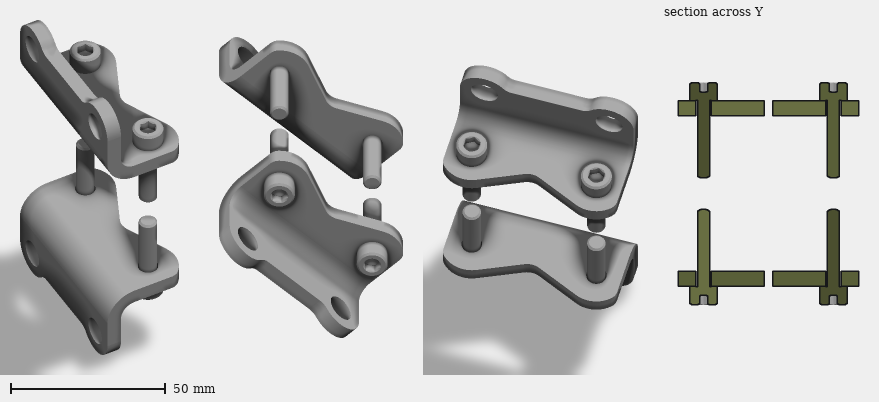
import cadquery as cq
import math

total_height = 106.5
width = 58.5
half_width = width / 2
thickness = 5.0
leg_height = 28.2
flange_depth = 29.5
bend_outer_radius = 10.0
bend_inner_radius = bend_outer_radius - thickness
hole_spacing = 42.0
hole_x = hole_spacing / 2
hole_sides = (-1, 1)

mounting_hole_diameter = 9.0
ear_radius = half_width - hole_x
ear_drop = 4.3
ear_root_radius = 4.0

lobe_radius = 10.0
lobe_corner_radius = 4.0
flank_angle = math.radians(24.5)
valley_radius = 6.0
clearance_diameter = 6.6

shank_diameter = 6.0
shank_length = 25.0
tip_chamfer = 0.6
head_diameter = 10.0
head_height = 6.0
head_chamfer = 0.6
socket_across_flats = 5.0
socket_depth = 3.0
socket_mouth_diameter = 5.9
drill_point_angle = math.radians(120)

top_z = total_height / 2
flange_bottom_z = top_z - leg_height
flange_top_z = flange_bottom_z + thickness
bend_center_z = flange_bottom_z + bend_outer_radius
ear_z = top_z - ear_radius
screw_y = flange_depth - lobe_radius


def fillet_nearest_edge(body, radius, point):
    """Round the edge whose middle is nearest to the point."""
    return body.edges(cq.selectors.NearestToPointSelector(point)).fillet(radius)


def make_leg():
    """Upright plate above the bend, with two pierced ears standing above its top edge."""
    web_z = top_z - ear_drop
    root_x = hole_x - math.sqrt(ear_radius**2 - (web_z - ear_z) ** 2)
    leg = (
        cq.Workplane("XZ")
        .moveTo(-half_width, bend_center_z)
        .lineTo(-half_width, ear_z)
        .threePointArc((-hole_x, top_z), (-root_x, web_z))
        .lineTo(root_x, web_z)
        .threePointArc((hole_x, top_z), (half_width, ear_z))
        .lineTo(half_width, bend_center_z)
        .close()
        .extrude(-thickness)
    )
    for side in hole_sides:
        leg = fillet_nearest_edge(leg, ear_root_radius, (side * root_x, thickness / 2, web_z))
    holes = (
        cq.Workplane("XZ")
        .pushPoints([(side * hole_x, ear_z) for side in hole_sides])
        .circle(mounting_hole_diameter / 2)
        .extrude(-thickness)
    )
    return leg.cut(holes)


def make_bend():
    """Quarter ring that joins the leg to the flange."""
    diagonal = math.sqrt(0.5)
    outer_mid = bend_outer_radius * diagonal
    inner_mid = bend_inner_radius * diagonal
    return (
        cq.Workplane("YZ", origin=(-half_width, bend_outer_radius, bend_center_z))
        .moveTo(-bend_outer_radius, 0)
        .threePointArc((-outer_mid, -outer_mid), (0, -bend_outer_radius))
        .lineTo(0, -bend_inner_radius)
        .threePointArc((-inner_mid, -inner_mid), (-bend_inner_radius, 0))
        .close()
        .extrude(width)
    )


def make_flange():
    """Level plate behind the bend, with two rounded lobes and screw clearance holes."""
    corner_y = screw_y + math.sqrt(lobe_radius**2 - ear_radius**2)
    flank_x = hole_x - lobe_radius * math.sin(flank_angle)
    flank_y = screw_y + lobe_radius * math.cos(flank_angle)
    valley_y = flank_y - flank_x * math.tan(flank_angle)
    flange = (
        cq.Workplane("XY", origin=(0, 0, flange_bottom_z))
        .moveTo(-half_width, bend_outer_radius)
        .lineTo(-half_width, corner_y)
        .threePointArc((-hole_x, flange_depth), (-flank_x, flank_y))
        .lineTo(0, valley_y)
        .lineTo(flank_x, flank_y)
        .threePointArc((hole_x, flange_depth), (half_width, corner_y))
        .lineTo(half_width, bend_outer_radius)
        .close()
        .extrude(thickness)
    )
    middle_z = flange_bottom_z + thickness / 2
    flange = fillet_nearest_edge(flange, valley_radius, (0, valley_y, middle_z))
    for side in hole_sides:
        flange = fillet_nearest_edge(flange, lobe_corner_radius, (side * half_width, corner_y, middle_z))
    holes = (
        cq.Workplane("XY", origin=(0, 0, flange_bottom_z))
        .pushPoints([(side * hole_x, screw_y) for side in hole_sides])
        .circle(clearance_diameter / 2)
        .extrude(thickness)
    )
    return flange.cut(holes)


def make_bracket():
    """Upper angle bracket."""
    return make_leg().union(make_bend()).union(make_flange())


def make_socket():
    """Hexagon recess below z = head_height, with a flared mouth and a drilled conical floor."""
    floor_z = head_height - socket_depth
    floor_radius = socket_across_flats / 2
    mouth_radius = socket_mouth_diameter / 2
    cone_depth = floor_radius / math.tan(drill_point_angle / 2)
    flare_depth = mouth_radius - floor_radius
    hexagon = (
        cq.Workplane("XY", origin=(0, 0, floor_z))
        .polygon(6, socket_across_flats, circumscribed=True)
        .extrude(socket_depth)
    )
    drill_and_flare = (
        cq.Workplane("XZ")
        .moveTo(0, floor_z - cone_depth)
        .lineTo(floor_radius, floor_z)
        .lineTo(floor_radius, head_height - flare_depth)
        .lineTo(mouth_radius, head_height)
        .lineTo(0, head_height)
        .close()
        .revolve(360, (0, 0), (0, 1))
    )
    return hexagon.union(drill_and_flare)


def make_screw():
    """Cap screw pointing down, with the underside of its head at z = 0."""
    shank = (
        cq.Workplane("XY")
        .circle(shank_diameter / 2)
        .extrude(-shank_length)
        .faces("<Z")
        .chamfer(tip_chamfer)
    )
    head = (
        cq.Workplane("XY")
        .circle(head_diameter / 2)
        .extrude(head_height)
        .faces(">Z")
        .chamfer(head_chamfer)
    )
    return head.union(shank).cut(make_socket())


upper_bracket = make_bracket()
lower_bracket = upper_bracket.mirror("XY")

screw = make_screw()
screws = []
for side in hole_sides:
    upper_screw = screw.translate((side * hole_x, screw_y, flange_top_z))
    screws.append(upper_screw.val())
    screws.append(upper_screw.mirror("XY").val())

result = cq.Compound.makeCompound([upper_bracket.val(), lower_bracket.val(), *screws])